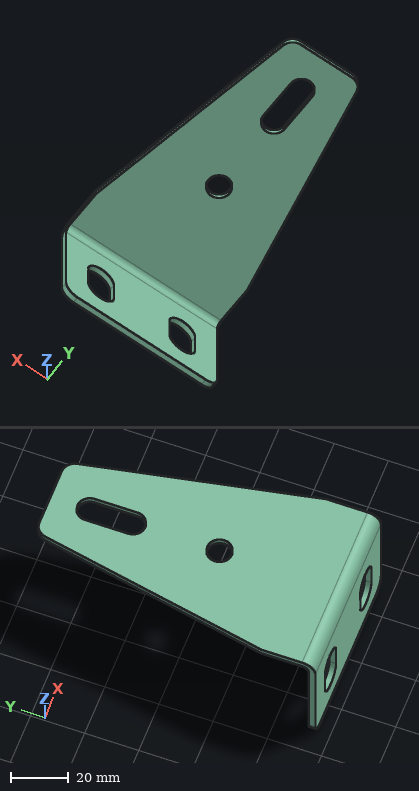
import cadquery as cq

width = 65.0
length = 110.0
height = 45.0
thickness = 2.5
bend_radius = 5.0
corner_radius = 5.0

tip_width = 30.0
straight_length = 20.0
tip_slot_width = 9.0
tip_slot_length = 25.0
tip_slot_margin = 10.0
tip_slot_y = length - tip_slot_margin - tip_slot_length / 2
hole_diameter = tip_slot_width
hole_y = 47.5

flange_slot_width = 11.0
flange_slot_length = 20.0
flange_slot_spacing = 35.0
flange_slot_z = -25.0


def bent_sheet():
    """L-shaped strip: outer faces at y = 0 and z = 0, running along X."""
    profile = (
        cq.Workplane("YZ")
        .moveTo(length, 0)
        .lineTo(bend_radius, 0)
        .radiusArc((0, -bend_radius), -bend_radius)
        .lineTo(0, -height)
        .lineTo(thickness, -height)
        .lineTo(thickness, -bend_radius)
        .radiusArc((bend_radius, -thickness), bend_radius - thickness)
        .lineTo(length, -thickness)
        .close()
    )
    return profile.extrude(width / 2, both=True)


def plate_outline():
    """Tapered outline of the horizontal plate, extruded through the full height."""
    outline = [
        (-width / 2, 0),
        (width / 2, 0),
        (width / 2, straight_length),
        (tip_width / 2, length),
        (-tip_width / 2, length),
        (-width / 2, straight_length),
    ]
    prism = cq.Workplane("XY").polyline(outline).close().extrude(-height)
    return prism.edges("|Z and >Y").fillet(corner_radius)


def plate_openings():
    """Tip slot and round hole, cut through the horizontal plate."""
    slot = (
        cq.Workplane("XY")
        .center(0, tip_slot_y)
        .slot2D(tip_slot_length, tip_slot_width, 90)
        .extrude(-thickness)
    )
    hole = cq.Workplane("XY").center(0, hole_y).circle(hole_diameter / 2).extrude(-thickness)
    return slot.union(hole)


def flange_slots():
    """Pair of upright slots, cut through the vertical flange."""
    return (
        cq.Workplane("XZ")
        .pushPoints([(side * flange_slot_spacing / 2, flange_slot_z) for side in (-1, 1)])
        .slot2D(flange_slot_length, flange_slot_width, 90)
        .extrude(-thickness)
    )


bracket = bent_sheet().intersect(plate_outline())
bracket = bracket.edges("|Y and <Z").fillet(corner_radius)
result = bracket.cut(plate_openings()).cut(flange_slots())